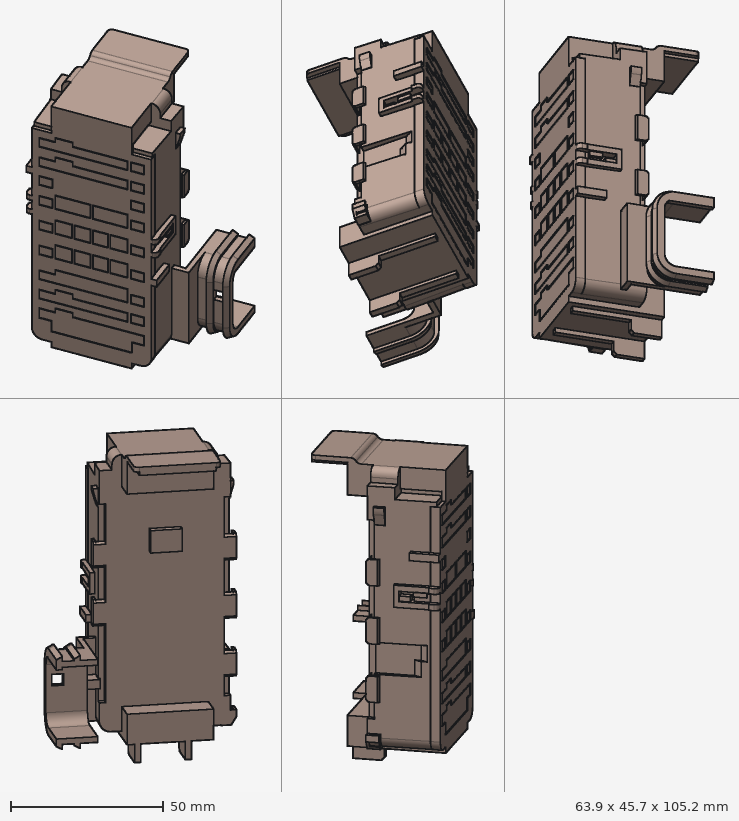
import cadquery as cq


total_height = 105.2
total_depth = 45.7
clip_reach = 24.0
socket_end = 39.9

body_half = 22.0
body_front_half = 21.3
body_back = 24.6
body_bottom = 8.4
body_corner = 3.8
plate_half = 21.6
plate_depth = 3.4
plate_top = 92.5
lip_depth = 1.4
ledge_top = 94.1
ledge_back = 15.4
shoulder_top = 98.2
crown_half = 17.8
crown_top = 103.3
crown_corner = 3.2

hood_half = 14.5
hood_top = crown_top
block_back = 33.3
upper_block_bottom = 92.3
lower_block_top = 16.8
skirt_bottom = 6.3
handle_thickness = 1.7
handle_rib_bottom = 102.3
handle_rib_inset = 1.7
undercut_top = 95.8
undercut_depth = 1.0
handle_corner = 1.6
bend_start = 28.6
bend_end = 32.3

foot_width = 2.1
foot_centers = (-6.1, 10.9)
foot_front = 2.3
foot_heel = 22.6
foot_sole = 4.6
foot_chamfer = 1.0

pocket_depth = 0.3
pocket_half = 18.9
square_width = 4.7
pocket_height = 3.5
key_left, key_right = -13.1, -6.8
key_height = 1.7
long_right = 12.9
cell_rise = 1.9
row_tops = (89.2, 81.4, 73.8, 65.8, 55.8, 45.9, 35.9, 28.1)
left_square_rows = (2, 3, 4, 5)
keyed_rows = (0, 1, 7)
wide_key_row = 6
pair_row = 3
quad_rows = (4, 5)
pair_cells = ((key_left, -0.4), (0.4, long_right))
quad_cells = ((key_left, -7.2), (-6.2, -0.4), (0.4, 5.9), (6.7, long_right))
last_row_top = 20.6
last_row_step = 16.8
last_row_bottom = 12.6

rail_depth = 2.1
rail_width = 2.3
rail_bottom, rail_top = 18.5, 86.7
clip_height = 8.9
clip_depth = 4.4
clip_chamfer = 0.8
clip_lead_in = 0.5
clip_wall = 0.9
left_clips = (64.8, 44.8, 24.8)
right_clips = (64.8, 44.8)
rib_half = 23.6
wedge_top, wedge_bottom = 91.4, 85.1
wedge_bend = (23.1, 89.0)
wedge_arc_middle = (23.5, 90.1)
wedge_width = 3.7
rib_length = 10.0
rib_height = 2.6
left_rib_bottom = 74.1
right_rib_bottom = 41.9
loop_length = 15.4
loop_bar = 2.0
loop_corner = 1.6
loop_reach = 23.3
loop_nose_length = plate_depth
loop_pocket_depth = 1.3
left_loop = (57.7, 65.3)
right_loop = (53.2, 60.5)
loop_slot_end = 13.7
lower_step = (10.0, loop_slot_end)
upper_step = (4.4, 8.9)

recess_depth = 1.9
recess_ramp = 3.5
recess_top, recess_middle, recess_bottom = 44.8, 39.2, 33.9
upper_recess_front = 3.5
lower_recess_front = 5.6

socket_bottom, socket_top = 10.3, 38.8
socket_front = 22.5
socket_back = 41.6
socket_corner = 6.0
socket_wall = 2.0
flange_left, flange_right = 26.0, 28.0
flange_front = 15.7
barb_starts = (31.9, 37.9)
barb_width = 2.0
barb_rise = 1.7
barb_end_rise = 0.6
end_lip_bottom = 36.0
window_bottom, window_top = 25.3, 29.2
gusset_back = 23.8
gusset_bottom, gusset_top = 23.1, 26.3

overlap = 0.5


def box(x0, x1, y0, y1, z0, z1):
    return cq.Workplane("XY").box(x1 - x0, y1 - y0, z1 - z0, centered=False).translate((x0, y0, z0))


def side_box(side, x0, x1, y0, y1, z0, z1):
    """Box on the right (side = 1) or left (side = -1); x0 and x1 are distances from the middle."""
    low, high = sorted((side * x0, side * x1))
    return box(low, high, y0, y1, z0, z1)


def make_housing():
    outline = [(-body_front_half, lip_depth), (body_front_half, lip_depth),
               (body_half, body_back), (-body_half, body_back)]
    body = cq.Workplane("XY").polyline(outline).close().extrude(shoulder_top - body_bottom)
    body = body.translate((0, 0, body_bottom)).edges("<Z").edges("<X or >X").fillet(body_corner)
    plate = box(-plate_half, plate_half, 0, plate_depth, body_bottom, plate_top)
    plate = plate.edges("|Y and <Z").fillet(body_corner)
    crown = box(-crown_half, crown_half, ledge_back, body_back, plate_top, crown_top)
    crown = crown.edges("|Y and >Z").fillet(crown_corner)
    housing = body.union(plate).union(crown)
    housing = housing.cut(box(-body_half, body_half, 0, ledge_back, ledge_top, total_height))
    for side in (-1, 1):
        housing = housing.cut(side_box(side, body_half - rail_depth, body_half,
                                       body_back - rail_width, body_back, rail_bottom, rail_top))
    return housing


def make_hood():
    """Hood, rear blocks and bent handle in one side profile, with a rib under the handle."""
    handle_bottom = total_height - handle_thickness
    bend_middle = (bend_start + bend_end) / 2
    bend_rise = total_height - hood_top
    bend_radius = ((bend_middle - bend_start) ** 2 + (bend_rise / 2) ** 2) / bend_rise
    hood = (
        cq.Workplane("YZ")
        .moveTo(0, skirt_bottom)
        .lineTo(0, hood_top)
        .lineTo(bend_start, hood_top)
        .radiusArc((bend_middle, hood_top + bend_rise / 2), -bend_radius)
        .radiusArc((bend_end, total_height), bend_radius)
        .lineTo(total_depth, total_height)
        .lineTo(total_depth, handle_bottom)
        .lineTo(block_back, handle_bottom)
        .lineTo(block_back, upper_block_bottom)
        .lineTo(body_back, upper_block_bottom)
        .lineTo(body_back, lower_block_top)
        .lineTo(block_back, lower_block_top)
        .lineTo(block_back, skirt_bottom)
        .close()
        .extrude(hood_half, both=True)
    )
    hood = hood.edges("|Z and >Y").fillet(handle_corner)
    rib_half_width = hood_half - handle_rib_inset
    return hood.union(box(-rib_half_width, rib_half_width, block_back - overlap, total_depth,
                          handle_rib_bottom, handle_bottom))


def make_undercut(side):
    """Strip below the hood side where the ledge runs on inwards."""
    return side_box(side, hood_half - undercut_depth, body_half, lip_depth, ledge_back,
                    ledge_top, undercut_top)


def make_foot(center):
    profile = [
        (foot_front, lower_block_top),
        (foot_front, foot_sole),
        (foot_heel, foot_sole),
        (foot_heel, foot_chamfer),
        (foot_heel + foot_chamfer, 0),
        (block_back, 0),
        (block_back, lower_block_top),
    ]
    foot = cq.Workplane("YZ").polyline(profile).close().extrude(foot_width / 2, both=True)
    return foot.translate((center, 0, 0))


def make_rear_stop():
    half_width, depth, bottom, top = 5.3, 2.6, 69.7, 77.4
    return box(-half_width, half_width, body_back - overlap, body_back + depth, bottom, top)


def pocket(x0, x1, z0, z1):
    return box(x0, x1, 0, pocket_depth, z0, z1)


def make_pockets():
    pockets = pocket(-pocket_half, pocket_half, last_row_step, last_row_top)
    pockets = pockets.union(pocket(key_left, key_right, last_row_step, last_row_top + key_height))
    pockets = pockets.union(pocket(-hood_half, hood_half, last_row_bottom, last_row_step))
    for row, top in enumerate(row_tops):
        bottom = top - pocket_height
        pieces = [(pocket_half - square_width, pocket_half, top)]
        if row in left_square_rows:
            pieces.append((-pocket_half, square_width - pocket_half, top))
        else:
            pieces.append((-pocket_half, long_right, top))
        if row in keyed_rows:
            pieces.append((key_left, key_right, top + key_height))
        if row == wide_key_row:
            pieces.append((key_left, long_right, top + cell_rise))
        if row == pair_row:
            pieces += [(left, right, top + cell_rise) for left, right in pair_cells]
        if row in quad_rows:
            pieces += [(left, right, top + cell_rise) for left, right in quad_cells]
        for left, right, piece_top in pieces:
            pockets = pockets.union(pocket(left, right, bottom, piece_top))
    return pockets


def make_clip(side, bottom):
    """Outer plate held off the wall by a web along the back of the housing."""
    front = body_back - clip_depth
    top = bottom + clip_height
    web = side_box(side, body_half - rail_depth - overlap, clip_reach,
                   body_back - clip_wall, body_back, bottom, top)
    plate = side_box(side, clip_reach - clip_wall, clip_reach, front, body_back, bottom, top)
    clip = plate.union(web).edges("|X and >Y").chamfer(clip_chamfer)
    outer_edge = "<X" if side < 0 else ">X"
    return clip.faces("<Y").edges(outer_edge).chamfer(clip_lead_in)


def make_wedge(side):
    inner = body_half - 2 * overlap
    wedge = (
        cq.Workplane("XZ")
        .moveTo(side * inner, wedge_bottom)
        .lineTo(side * body_half, wedge_bottom)
        .lineTo(side * wedge_bend[0], wedge_bend[1])
        .threePointArc((side * wedge_arc_middle[0], wedge_arc_middle[1]), (side * rib_half, wedge_top))
        .lineTo(side * inner, wedge_top)
        .close()
        .extrude(-wedge_width)
    )
    return wedge.translate((0, body_back - rail_width - wedge_width, 0))


def make_rib(side, bottom):
    return side_box(side, plate_half - overlap, rib_half, 0, rib_length, bottom, bottom + rib_height)


def make_loop(side, bottom, top):
    """U-shaped guide, thicker at its rounded front ends, with two steps inside its slot."""
    nose_reach = clip_reach if side < 0 else rib_half
    inner = body_front_half - loop_pocket_depth - overlap
    loop = side_box(side, inner, loop_reach, 0, loop_length, bottom, top)
    nose = side_box(side, inner, nose_reach, 0, loop_nose_length, bottom, top)
    outer_side = "<X" if side < 0 else ">X"
    loop = loop.union(nose)
    loop = loop.faces("<Y").edges(outer_side).fillet(loop_corner)
    slot_bottom = bottom + loop_bar
    slot_top = top - loop_bar
    slot_middle = (slot_bottom + slot_top) / 2
    loop = loop.cut(side_box(side, inner, nose_reach, 0, loop_slot_end, slot_bottom, slot_top))
    step_reach = (body_half + loop_reach) / 2
    lower = side_box(side, inner, step_reach, *lower_step, slot_bottom, slot_middle)
    upper = side_box(side, inner, step_reach, *upper_step, slot_middle, slot_top)
    return loop.union(lower).union(upper)


def make_loop_pocket(side, bottom, top):
    """Sinks the closed end of a guide slot into the housing wall."""
    return side_box(side, body_front_half - loop_pocket_depth, body_half,
                    upper_step[1], loop_slot_end, bottom + loop_bar, top - loop_bar)


def make_corner_clip():
    """Lower left clip with a slanted outer corner."""
    top, slant_top = 13.5, 11.1
    bottom = 8.3
    foot_half = 22.2
    inner_half = 18.8
    profile = [(-inner_half, top), (-clip_reach, top), (-clip_reach, slant_top),
               (-foot_half, bottom), (-inner_half, bottom)]
    clip = cq.Workplane("XZ").polyline(profile).close().extrude(-clip_depth)
    clip = clip.translate((0, body_back - clip_depth, 0))
    gap = side_box(-1, body_half, clip_reach - clip_wall, body_back - clip_depth,
                   body_back - clip_wall, bottom + clip_wall, top)
    return clip.cut(gap)


def make_recess_step(front, bottom, top):
    """Shallow recess in the left wall whose front end ramps back up to the surface."""
    profile = [(-body_half, front), (recess_depth - body_half, front + recess_ramp),
               (recess_depth - body_half, body_back), (-body_half, body_back)]
    return cq.Workplane("XY").polyline(profile).close().extrude(top - bottom).translate((0, 0, bottom))


def socket_block(growth):
    """Solid outline of the socket, grown outwards (or inwards if negative) except at its open back."""
    height = socket_top - socket_bottom + 2 * growth
    depth = socket_back - socket_front + growth
    radius = socket_corner + growth
    left = socket_bottom - growth
    front = socket_front - growth
    return (
        cq.Workplane("YZ")
        .moveTo(socket_back, left)
        .lineTo(front + radius, left)
        .radiusArc((front, left + radius), radius)
        .lineTo(front, left + height - radius)
        .radiusArc((front + radius, left + height), radius)
        .lineTo(front + depth, left + height)
        .close()
    )


def make_socket():
    tube = socket_block(0).extrude(socket_end - flange_right).translate((flange_right, 0, 0))
    flange = box(flange_left, flange_right, flange_front, socket_back, socket_bottom, socket_top)
    arm = box(body_half - overlap, flange_right, flange_front, flange_front + socket_wall,
              socket_bottom, socket_top)
    gusset = box(body_half - overlap, flange_right, flange_front, gusset_back, gusset_bottom, gusset_top)
    socket = tube.union(flange)
    for start in barb_starts:
        wide = socket_block(barb_rise).wires().val()
        narrow = socket_block(barb_end_rise).wires().val().translate(cq.Vector(barb_width, 0, 0))
        barb = cq.Solid.makeLoft([wide, narrow], True).translate(cq.Vector(start, 0, 0))
        socket = socket.union(cq.Workplane(barb))
    cavity = socket_block(-socket_wall).extrude(socket_end - flange_left).translate((flange_left, 0, 0))
    window = box(barb_starts[0] + barb_width, barb_starts[1], flange_front, socket_back,
                 window_bottom, window_top)
    end_lip = box(barb_starts[1], socket_end, socket_front, socket_back, end_lip_bottom, socket_top)
    return socket.cut(cavity.cut(end_lip)).cut(window).union(arm).union(gusset)


result = make_housing().union(make_hood())
for hood_side in (-1, 1):
    result = result.cut(make_undercut(hood_side))
for foot_center in foot_centers:
    result = result.union(make_foot(foot_center))
result = result.union(make_rear_stop())
result = result.cut(make_pockets())
result = result.cut(make_recess_step(upper_recess_front, recess_middle, recess_top))
result = result.cut(make_recess_step(lower_recess_front, recess_bottom, recess_middle))

for clip_bottom in left_clips:
    result = result.union(make_clip(-1, clip_bottom))
for clip_bottom in right_clips:
    result = result.union(make_clip(1, clip_bottom))
for wall_side in (-1, 1):
    result = result.union(make_wedge(wall_side))
result = result.union(make_rib(-1, left_rib_bottom)).union(make_rib(1, right_rib_bottom))
for loop_side, loop_span in ((-1, left_loop), (1, right_loop)):
    result = result.cut(make_loop_pocket(loop_side, *loop_span))
    result = result.union(make_loop(loop_side, *loop_span))
result = result.union(make_corner_clip())
result = result.union(make_socket())